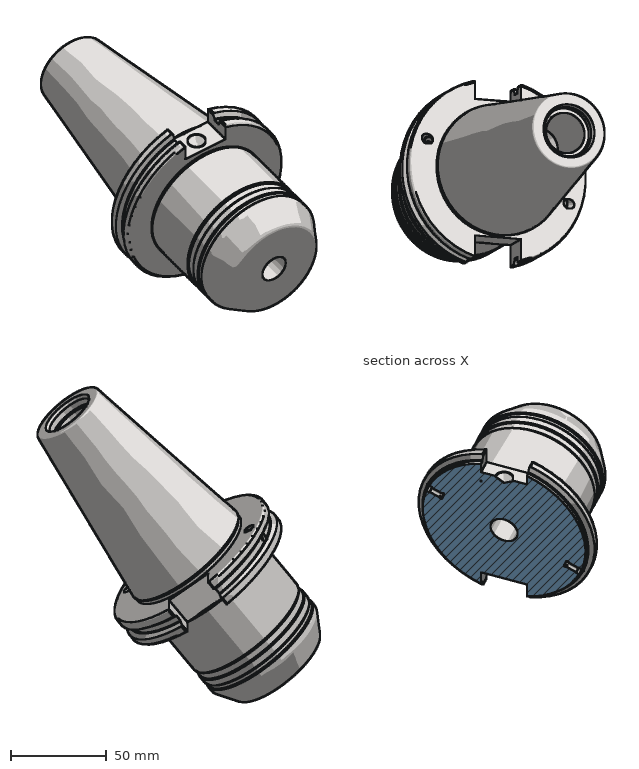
import cadquery as cq
import math


TAPER_LENGTH = 101.6
TAPER_RATIO = 7 / 24
GAUGE_DIAMETER = 69.85
TAIL_DIAMETER = GAUGE_DIAMETER - TAPER_LENGTH * TAPER_RATIO
TAIL_ROUND = 1.0

REAR_NECK_DIAMETER = 68.9
REAR_NECK_CHAMFER = 1.0
FRONT_NECK_DIAMETER = 69.25
FRONT_NECK_WIDTH = 1.0

FLANGE_DIAMETER = 98.425
FLANGE_START = 3.175
FLANGE_END = 19.05
FLANGE_ROUND = 1.0
FLANGE_MIDDLE = (FLANGE_START + FLANGE_END) / 2
GROOVE_ROOT_DIAMETER = 91.2
GROOVE_ROOT_WIDTH = 3.8
GROOVE_STEP = 0.85
GROOVE_HALF_ANGLE = math.radians(30)

SLOT_WIDTH = 25.6
SLOT_MOUTH_WIDTH = 26.86
TOP_SLOT_FLOOR = 37.7
BOTTOM_SLOT_FLOOR = 35.3
DIMPLE_DIAMETER = 9.53
DIMPLE_DEPTH = 0.5
DRILL_POINT_ANGLE = math.radians(118)

BODY_DIAMETER = 69.9
BODY_END = 81.0
NOSE_LENGTH = 13.0
NOSE_ANGLE = math.radians(30)
NOSE_ROUND = 3.0
BAND_DIAMETER = 68.9
BAND_WALL_RUN = 0.6
WIDE_BAND_WALL_RUN = 0.9
BANDS = [
    (52.0, 56.7, WIDE_BAND_WALL_RUN),
    (61.2, 64.0, BAND_WALL_RUN),
]

BORE_MOUTH_DIAMETER = 28.4
BORE_MOUTH_HALF_ANGLE = math.radians(30)
PILOT_DIAMETER = 26.2
PILOT_DEPTH = 5.5
THREAD_DIAMETER = 21.5
THREAD_DEPTH = 45.0
THROUGH_DIAMETER = 14.92

COOLANT_ANGLES = (20, 200)
COOLANT_RADIUS = 42.0
COOLANT_TILT = math.radians(35)
COOLANT_MOUTH_DIAMETER = 5.0
COOLANT_MOUTH_DEPTH = 2.8
COOLANT_DIAMETER = 4.2
COOLANT_RADIAL_MOUTH_DIAMETER = 4.13
COOLANT_RADIAL_MOUTH_DEPTH = 2.0
COOLANT_RADIAL_DIAMETER = 3.24


def revolve_about_x(outline):
    return outline.close().revolve(360, (0, 0, 0), (1, 0, 0))


def make_cylinder(diameter, start, end):
    return cq.Workplane("YZ", origin=(start, 0, 0)).circle(diameter / 2).extrude(end - start)


def make_shank():
    gauge_radius = GAUGE_DIAMETER / 2
    neck_radius = REAR_NECK_DIAMETER / 2
    shank = revolve_about_x(
        cq.Workplane("XY")
        .moveTo(-TAPER_LENGTH, 0)
        .lineTo(-TAPER_LENGTH, TAIL_DIAMETER / 2)
        .lineTo(0, gauge_radius)
        .lineTo(REAR_NECK_CHAMFER, neck_radius)
        .lineTo(FLANGE_START, neck_radius)
        .lineTo(FLANGE_START, 0)
    )
    return shank.edges("<X").fillet(TAIL_ROUND)


def make_flange():
    flange = make_cylinder(FLANGE_DIAMETER, FLANGE_START, FLANGE_END)
    flange = flange.faces("<X or >X").edges().fillet(FLANGE_ROUND)

    root_radius = GROOVE_ROOT_DIAMETER / 2
    step_radius = root_radius + GROOVE_STEP
    rim_radius = FLANGE_DIAMETER / 2
    root_half = GROOVE_ROOT_WIDTH / 2
    rim_half = root_half + (rim_radius - step_radius) * math.tan(GROOVE_HALF_ANGLE)
    groove = revolve_about_x(
        cq.Workplane("XY")
        .moveTo(FLANGE_MIDDLE - rim_half, rim_radius)
        .lineTo(FLANGE_MIDDLE - root_half, step_radius)
        .lineTo(FLANGE_MIDDLE - root_half, root_radius)
        .lineTo(FLANGE_MIDDLE + root_half, root_radius)
        .lineTo(FLANGE_MIDDLE + root_half, step_radius)
        .lineTo(FLANGE_MIDDLE + rim_half, rim_radius)
    )
    return flange.cut(groove)


def make_slot(floor, direction):
    """Rectangular slot whose edges are bevelled at 45 degrees where they meet the flange rim."""
    rim_radius = FLANGE_DIAMETER / 2
    slot_half = SLOT_WIDTH / 2
    mouth_half = SLOT_MOUTH_WIDTH / 2
    mouth_height = math.sqrt(rim_radius**2 - mouth_half**2)
    bevel_start = mouth_height - (mouth_half - slot_half)
    top_half = slot_half + rim_radius - bevel_start
    profile = [
        (slot_half, floor),
        (slot_half, bevel_start),
        (top_half, rim_radius),
        (-top_half, rim_radius),
        (-slot_half, bevel_start),
        (-slot_half, floor),
    ]
    placed = [(y, direction * z) for y, z in profile]
    slot = cq.Workplane("YZ", origin=(FLANGE_START, 0, 0)).polyline(placed).close()
    return slot.extrude(FLANGE_END - FLANGE_START)


def make_dimple():
    radius = DIMPLE_DIAMETER / 2
    corner = TOP_SLOT_FLOOR - DIMPLE_DEPTH
    tip = corner - radius / math.tan(DRILL_POINT_ANGLE / 2)
    dimple = (
        cq.Workplane("XZ")
        .moveTo(0, TOP_SLOT_FLOOR)
        .lineTo(radius, TOP_SLOT_FLOOR)
        .lineTo(radius, corner)
        .lineTo(0, tip)
        .close()
        .revolve(360, (0, 0, 0), (0, 1, 0))
    )
    return dimple.translate((FLANGE_MIDDLE, 0, 0))


def make_band(rear_start, front_start, rear_run):
    body_radius = BODY_DIAMETER / 2
    floor_radius = BAND_DIAMETER / 2
    return revolve_about_x(
        cq.Workplane("XY")
        .moveTo(rear_start, body_radius)
        .lineTo(rear_start + rear_run, floor_radius)
        .lineTo(front_start, floor_radius)
        .lineTo(front_start + BAND_WALL_RUN, body_radius)
    )


def make_body():
    body_start = FLANGE_END + FRONT_NECK_WIDTH
    body_radius = BODY_DIAMETER / 2
    nose_radius = body_radius - NOSE_LENGTH * math.tan(NOSE_ANGLE)
    body = revolve_about_x(
        cq.Workplane("XY")
        .moveTo(body_start, 0)
        .lineTo(body_start, body_radius)
        .lineTo(BODY_END - NOSE_LENGTH, body_radius)
        .lineTo(BODY_END, nose_radius)
        .lineTo(BODY_END, 0)
    )
    body = body.faces("%CONE").edges("%CIRCLE").fillet(NOSE_ROUND)
    for band in BANDS:
        body = body.cut(make_band(*band))
    return body.union(make_cylinder(FRONT_NECK_DIAMETER, FLANGE_END, body_start))


def make_bore():
    mouth_radius = BORE_MOUTH_DIAMETER / 2
    pilot_radius = PILOT_DIAMETER / 2
    thread_radius = THREAD_DIAMETER / 2
    through_radius = THROUGH_DIAMETER / 2
    mouth_depth = (mouth_radius - pilot_radius) / math.tan(BORE_MOUTH_HALF_ANGLE)
    thread_end = THREAD_DEPTH - TAPER_LENGTH
    cone_end = thread_end + (thread_radius - through_radius) / math.tan(DRILL_POINT_ANGLE / 2)
    return revolve_about_x(
        cq.Workplane("XY")
        .moveTo(-TAPER_LENGTH, 0)
        .lineTo(-TAPER_LENGTH, mouth_radius)
        .lineTo(-TAPER_LENGTH + mouth_depth, pilot_radius)
        .lineTo(-TAPER_LENGTH + PILOT_DEPTH, pilot_radius)
        .lineTo(-TAPER_LENGTH + PILOT_DEPTH, thread_radius)
        .lineTo(thread_end, thread_radius)
        .lineTo(cone_end, through_radius)
        .lineTo(BODY_END, through_radius)
        .lineTo(BODY_END, 0)
    )


def make_coolant_hole(angle):
    """Slanted hole from the rear flange face, met by a radial hole from the groove root."""
    slant = cq.Vector(math.cos(COOLANT_TILT), -math.sin(COOLANT_TILT), 0)
    mouth = cq.Vector(FLANGE_START, COOLANT_RADIUS, 0)
    lead_in = COOLANT_MOUTH_DIAMETER
    outside = mouth - slant * lead_in
    slant_length = (FLANGE_MIDDLE - FLANGE_START) / math.cos(COOLANT_TILT)
    meeting = mouth + slant * slant_length

    entry_length = lead_in + COOLANT_MOUTH_DEPTH
    entry = cq.Solid.makeCylinder(COOLANT_MOUTH_DIAMETER / 2, entry_length, outside, slant)
    slanted = cq.Solid.makeCylinder(COOLANT_DIAMETER / 2, slant_length, mouth, slant)

    outward = cq.Vector(0, 1, 0)
    rim_radius = FLANGE_DIAMETER / 2
    radial = cq.Solid.makeCylinder(COOLANT_RADIAL_DIAMETER / 2, rim_radius - meeting.y, meeting, outward)
    ledge_radius = GROOVE_ROOT_DIAMETER / 2 - COOLANT_RADIAL_MOUTH_DEPTH
    ledge = cq.Vector(FLANGE_MIDDLE, ledge_radius, 0)
    radial_mouth = cq.Solid.makeCylinder(
        COOLANT_RADIAL_MOUTH_DIAMETER / 2, rim_radius - ledge_radius, ledge, outward
    )

    hole = cq.Workplane(entry)
    for section in (slanted, radial, radial_mouth):
        hole = hole.union(cq.Workplane(section))
    return hole.rotate((0, 0, 0), (1, 0, 0), angle)


result = make_shank().union(make_flange()).union(make_body())
result = result.cut(make_slot(TOP_SLOT_FLOOR, 1)).cut(make_slot(BOTTOM_SLOT_FLOOR, -1))
result = result.cut(make_dimple()).cut(make_bore())
for coolant_angle in COOLANT_ANGLES:
    result = result.cut(make_coolant_hole(coolant_angle))